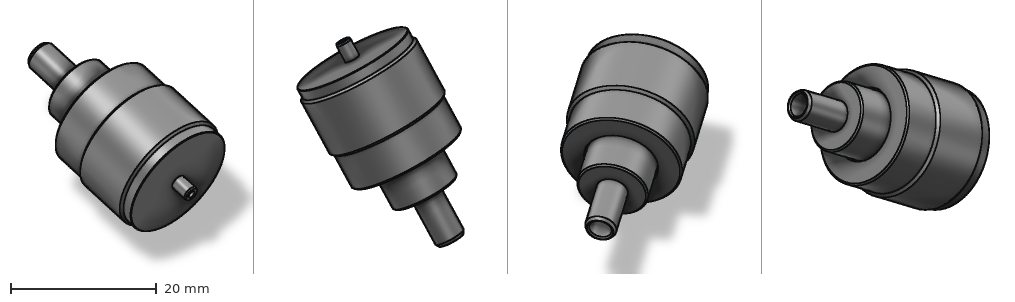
import cadquery as cq
import math

TOTAL_LENGTH = 31.7
HUB_START = 7.5
BODY_START = 12.9
SLEEVE_START = 18.4
COLLAR_START = 27.35
COLLAR_END = 28.88

TAIL_DIAMETER = 4.45
HUB_DIAMETER = 10.0
BODY_DIAMETER = 17.1
SLEEVE_DIAMETER = 18.0
COLLAR_DIAMETER = 17.25
PIN_DIAMETER = 2.2

TAIL_CHAMFER_LENGTH = 0.5
TAIL_CHAMFER_DEPTH = 0.3
STEP_CHAMFER = 0.25
SLEEVE_CHAMFER_LENGTH = 0.38
COLLAR_CHAMFER = 0.1
PIN_CHAMFER_LENGTH = 0.3
PIN_CHAMFER_DEPTH = 0.1

CLEARANCE_DIAMETER = 10.45
CLEARANCE_DEPTH = 0.63

MOUTH_DIAMETER = 3.65
BORE_DIAMETER = 3.17
BORE_DEPTH = 7.5
DRILL_POINT_ANGLE = 118.0
WIRE_DIAMETER = 1.1


def turned(start, length, diameter):
    """Solid cylinder on the X axis, starting at the given station."""
    return cq.Workplane("YZ", origin=(start, 0, 0)).circle(diameter / 2).extrude(length)


def cone(start, length, start_diameter, end_diameter):
    """Solid truncated cone on the X axis, starting at the given station."""
    base = cq.Vector(start, 0, 0)
    axis = cq.Vector(1, 0, 0)
    return cq.Workplane(cq.Solid.makeCone(start_diameter / 2, end_diameter / 2, length, base, axis))


tail = turned(0, HUB_START, TAIL_DIAMETER)
tail = tail.faces("<X").chamfer(TAIL_CHAMFER_LENGTH, TAIL_CHAMFER_DEPTH)
hub = turned(HUB_START, BODY_START - HUB_START, HUB_DIAMETER).faces("<X").chamfer(STEP_CHAMFER)
body = turned(BODY_START, SLEEVE_START - BODY_START, BODY_DIAMETER).faces("<X").chamfer(STEP_CHAMFER)
sleeve = turned(SLEEVE_START, COLLAR_START - SLEEVE_START, SLEEVE_DIAMETER)
sleeve = sleeve.faces("<X").chamfer(SLEEVE_CHAMFER_LENGTH, (SLEEVE_DIAMETER - BODY_DIAMETER) / 2)
sleeve = sleeve.faces(">X").chamfer(SLEEVE_CHAMFER_LENGTH, (SLEEVE_DIAMETER - COLLAR_DIAMETER) / 2)
collar = turned(COLLAR_START, COLLAR_END - COLLAR_START, COLLAR_DIAMETER).faces(">X").chamfer(COLLAR_CHAMFER)
pin = turned(COLLAR_END, TOTAL_LENGTH - COLLAR_END, PIN_DIAMETER)
pin = pin.faces(">X").chamfer(PIN_CHAMFER_LENGTH, PIN_CHAMFER_DEPTH)

clearance = turned(BODY_START, CLEARANCE_DEPTH, CLEARANCE_DIAMETER).cut(
    turned(BODY_START, CLEARANCE_DEPTH, HUB_DIAMETER)
)

mouth = cone(0, (MOUTH_DIAMETER - BORE_DIAMETER) / 2, MOUTH_DIAMETER, BORE_DIAMETER)
bore = turned(0, BORE_DEPTH, BORE_DIAMETER)
floor_length = (BORE_DIAMETER - WIRE_DIAMETER) / 2 / math.tan(math.radians(DRILL_POINT_ANGLE / 2))
floor = cone(BORE_DEPTH, floor_length, BORE_DIAMETER, WIRE_DIAMETER)
wire_hole = turned(0, TOTAL_LENGTH, WIRE_DIAMETER)

outside = tail.union(hub).union(body).union(sleeve).union(collar).union(pin)
result = outside.cut(clearance).cut(mouth).cut(bore).cut(floor).cut(wire_hole)